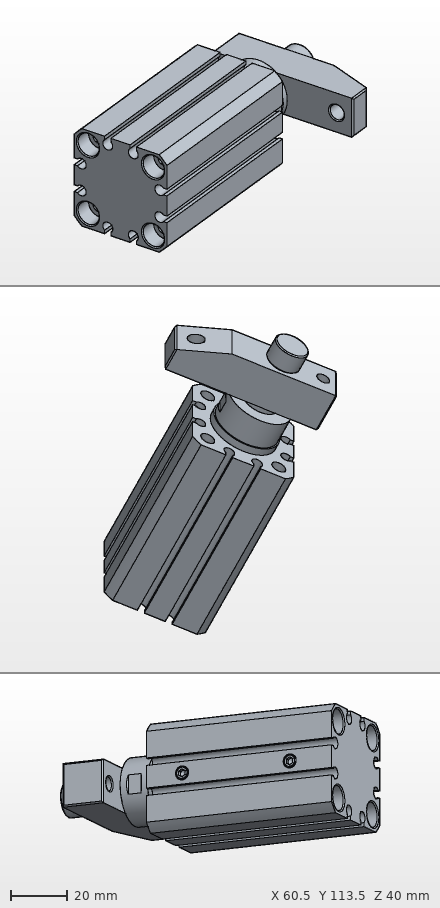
import cadquery as cq
import math

OVERALL_LENGTH = 113.5

HOUSING_SIDE = 40.0
HOUSING_LENGTH = 73.0
CORNER_RADIUS = 26.0
GROOVE_PITCH = 11.0
GROOVE_DIAMETER = 4.2
GROOVE_MOUTH = 2.7
GROOVE_DEPTH = 3.1
MOUNT_PITCH = 28.0
MOUNT_DIAMETER = 5.5
COUNTERBORE_DIAMETER = 9.1
COUNTERBORE_DEPTH = 7.0
COUNTERBORE_CHAMFER = 0.5

PLUG_DISTANCES = (14.0, 56.4)
PLUG_DIAMETER = 5.0
PLUG_LENGTH = 5.0
PLUG_CHAMFER = 0.5
SOCKET_ACROSS_FLATS = 2.5
SOCKET_DEPTH = 1.5
SOCKET_TIP_DEPTH = 0.7

FLANGE_DIAMETER = 26.1
FLANGE_LENGTH = 3.0
COLLAR_DIAMETER = 25.0
COLLAR_LENGTH = 11.0
FLATS_ACROSS = 24.0
FLAT_LENGTH = 5.0
GLAND_LENGTH = FLANGE_LENGTH + COLLAR_LENGTH

ROD_DIAMETER = 14.0
ROD_EXPOSED_LENGTH = 2.5
ROD_LENGTH = GLAND_LENGTH + ROD_EXPOSED_LENGTH

ARM_WIDTH = 16.0
ARM_LENGTH = 60.5
ARM_OVERHANG = 21.5
TAPER_START = 20.0
TAPER_ANGLE = 20.0
ARM_CHAMFER = 0.6
ARM_HOLES = ((-16.0, 5.0), (32.0, 6.0))
ARM_HOLE_CHAMFER = 0.5

BOLT_HEAD_DIAMETER = 13.0
BOLT_HEAD_CHAMFER = 0.5
BOLT_SHANK_DIAMETER = 8.0
BOLT_ROD_ENGAGEMENT = 11.4

FRONT_Y = HOUSING_LENGTH
COLLAR_Y = FRONT_Y + FLANGE_LENGTH
GLAND_END_Y = FRONT_Y + GLAND_LENGTH
ARM_Y = FRONT_Y + ROD_LENGTH
ARM_FRONT_Y = ARM_Y + ARM_WIDTH
BOLT_TIP_Y = ARM_Y - BOLT_ROD_ENGAGEMENT


def cylinder_y(diameter, start, end, x=0, z=0):
    """Round bar parallel to Y."""
    return cq.Workplane(
        cq.Solid.makeCylinder(diameter / 2, end - start, cq.Vector(x, start, z), cq.Vector(0, 1, 0))
    )


def chamfered_hole(diameter, chamfer, start, end, x, z):
    """Cutter for a hole along Y, widened by a chamfer at its start."""
    mouth = cq.Solid.makeCone(
        diameter / 2 + chamfer, diameter / 2, chamfer, cq.Vector(x, start, z), cq.Vector(0, 1, 0)
    )
    return cylinder_y(diameter, start, end, x, z).union(cq.Workplane(mouth))


def make_groove_pair():
    """Cutter for the two grooves of the +Z side, running along the whole housing."""
    half_side = HOUSING_SIDE / 2
    pair = cq.Workplane()
    for side in (-1, 1):
        x = side * GROOVE_PITCH / 2
        mouth = cq.Workplane().box(
            GROOVE_MOUTH, HOUSING_LENGTH, GROOVE_DEPTH, centered=(True, False, False)
        ).translate((x, 0, half_side - GROOVE_DEPTH))
        groove = cylinder_y(GROOVE_DIAMETER, 0, HOUSING_LENGTH, x, half_side - GROOVE_DEPTH)
        pair = pair.add(groove.union(mouth))
    return pair.combine()


def plug_places():
    """Y of each plug screw."""
    return [FRONT_Y - distance for distance in PLUG_DISTANCES]


def plug_blank(y):
    """Full cylinder that a plug screw fills, sunk into the -X side."""
    return cq.Workplane(
        cq.Solid.makeCylinder(
            PLUG_DIAMETER / 2, PLUG_LENGTH, cq.Vector(-HOUSING_SIDE / 2, y, 0), cq.Vector(1, 0, 0)
        )
    )


def make_housing():
    block = cq.Workplane().box(
        HOUSING_SIDE, HOUSING_LENGTH, HOUSING_SIDE, centered=(True, False, True)
    )
    body = block.intersect(cylinder_y(2 * CORNER_RADIUS, 0, HOUSING_LENGTH))
    for quarter in range(4):
        body = body.cut(make_groove_pair().rotate((0, 0, 0), (0, 1, 0), 90 * quarter))
    for x_side in (-1, 1):
        for z_side in (-1, 1):
            x = x_side * MOUNT_PITCH / 2
            z = z_side * MOUNT_PITCH / 2
            body = body.cut(cylinder_y(MOUNT_DIAMETER, 0, HOUSING_LENGTH, x, z))
            body = body.cut(
                chamfered_hole(COUNTERBORE_DIAMETER, COUNTERBORE_CHAMFER, 0, COUNTERBORE_DEPTH, x, z)
            )
    for y in plug_places():
        body = body.cut(plug_blank(y))
    return body


def make_plug_screw(y):
    """Headless screw, flush with the -X side, with a hexagon socket."""
    face_x = -HOUSING_SIDE / 2
    socket = (
        cq.Workplane("YZ", origin=(face_x, y, 0))
        .polygon(6, SOCKET_ACROSS_FLATS / math.cos(math.pi / 6))
        .extrude(SOCKET_DEPTH)
        .rotate((0, y, 0), (1, y, 0), 30)
    )
    socket_tip = cq.Solid.makeCone(
        SOCKET_ACROSS_FLATS / 2,
        0,
        SOCKET_TIP_DEPTH,
        cq.Vector(face_x + SOCKET_DEPTH, y, 0),
        cq.Vector(1, 0, 0),
    )
    screw = plug_blank(y).faces("<X").chamfer(PLUG_CHAMFER)
    return screw.cut(socket).cut(cq.Workplane(socket_tip))


def make_gland():
    flange = cylinder_y(FLANGE_DIAMETER, FRONT_Y, COLLAR_Y)
    collar = cylinder_y(COLLAR_DIAMETER, COLLAR_Y, GLAND_END_Y)
    flat_x = FLATS_ACROSS / 2
    outer_x = COLLAR_DIAMETER / 2
    middle_y = (COLLAR_Y + GLAND_END_Y) / 2
    inner_half = FLAT_LENGTH / 2
    outer_half = inner_half + outer_x - flat_x
    flat_cut = (
        cq.Workplane("XY", origin=(0, middle_y, 0))
        .polyline([
            (flat_x, -inner_half),
            (outer_x, -outer_half),
            (outer_x, outer_half),
            (flat_x, inner_half),
        ])
        .close()
        .extrude(outer_x, both=True)
    )
    gland = flange.union(collar).cut(flat_cut).cut(flat_cut.mirror("YZ"))
    return gland.cut(cylinder_y(ROD_DIAMETER, FRONT_Y, GLAND_END_Y))


def make_rod():
    rod = cylinder_y(ROD_DIAMETER, FRONT_Y, ARM_Y)
    return rod.cut(cylinder_y(BOLT_SHANK_DIAMETER, BOLT_TIP_Y, ARM_Y))


def make_arm():
    end_x = ARM_LENGTH - ARM_OVERHANG
    taper_drop = (end_x - TAPER_START) * math.tan(math.radians(TAPER_ANGLE))
    arm = (
        cq.Workplane("XY")
        .polyline([
            (-ARM_OVERHANG, ARM_Y),
            (end_x, ARM_Y),
            (end_x, ARM_FRONT_Y - taper_drop),
            (TAPER_START, ARM_FRONT_Y),
            (-ARM_OVERHANG, ARM_FRONT_Y),
        ])
        .close()
        .extrude(ARM_WIDTH / 2, both=True)
    )
    arm = arm.faces("<X or >X").edges().chamfer(ARM_CHAMFER)
    for x, diameter in ARM_HOLES:
        arm = arm.cut(chamfered_hole(diameter, ARM_HOLE_CHAMFER, ARM_Y, ARM_FRONT_Y, x, 0))
    return arm.cut(cylinder_y(BOLT_SHANK_DIAMETER, ARM_Y, ARM_FRONT_Y))


def make_bolt():
    head = cylinder_y(BOLT_HEAD_DIAMETER, ARM_FRONT_Y, OVERALL_LENGTH)
    head = head.faces("<Y or >Y").chamfer(BOLT_HEAD_CHAMFER)
    return head.union(cylinder_y(BOLT_SHANK_DIAMETER, BOLT_TIP_Y, ARM_FRONT_Y))


housing = make_housing()
gland = make_gland()
rod = make_rod()
arm = make_arm()
bolt = make_bolt()
plug_screws = [make_plug_screw(y) for y in plug_places()]

result = cq.Compound.makeCompound([
    housing.val(),
    gland.val(),
    rod.val(),
    arm.val(),
    bolt.val(),
    *[screw.val() for screw in plug_screws],
])